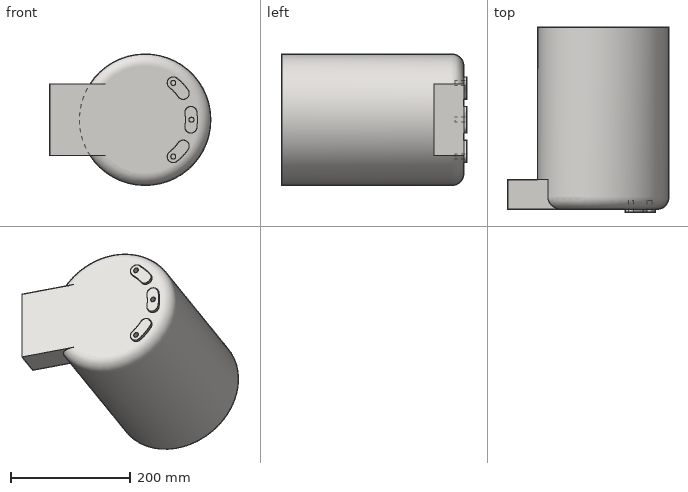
import cadquery as cq
import math

total_length = 310.0
drum_diameter = 220.0
overall_width = 270.0
edge_radius = 20.0

box_height = 120.0
box_depth = 50.0

pad_height = 5.0
pad_path_radius = 77.5
pad_width = 20.0
pad_half_angle = 9.0
pad_spacing_angle = 43.7

hole_depth = 20.0
hole_diameter = 8.5

drum_radius = drum_diameter / 2
drum_length = total_length - pad_height
box_reach = overall_width - drum_radius


def front_plane(y):
    """Workplane facing -Y at the given y, with local x along X and local y along Z."""
    return cq.Workplane("XZ", origin=(0, y, 0))


def polar(radius, angle):
    """Point at a radius and an angle in degrees, measured from +X towards +Z."""
    turn = math.radians(angle)
    return (radius * math.cos(turn), radius * math.sin(turn))


def make_drum():
    """Solid drum from y = 0 to y = drum_length with a rounded front edge."""
    drum = front_plane(drum_length).circle(drum_radius).extrude(drum_length)
    return drum.faces("<Y").edges().fillet(edge_radius)


def make_side_box():
    """Box from the drum axis out to -X."""
    box = cq.Workplane("XY").box(box_reach, box_depth, box_height, centered=(False, False, True))
    return box.translate((-box_reach, 0, 0))


def make_pad(centre_angle):
    """Arc-shaped slot outline with round ends, raised from the front face."""
    inner = pad_path_radius - pad_width / 2
    outer = pad_path_radius + pad_width / 2
    start = centre_angle - pad_half_angle
    end = centre_angle + pad_half_angle
    return (
        front_plane(0)
        .moveTo(*polar(outer, start))
        .threePointArc(polar(outer, centre_angle), polar(outer, end))
        .tangentArcPoint(polar(inner, end), relative=False)
        .threePointArc(polar(inner, centre_angle), polar(inner, start))
        .tangentArcPoint(polar(outer, start), relative=False)
        .close()
        .extrude(pad_height)
    )


def make_hole(angle):
    """Drill for a blind hole on the pad path."""
    return (
        front_plane(-pad_height)
        .center(*polar(pad_path_radius, angle))
        .circle(hole_diameter / 2)
        .extrude(-hole_depth)
    )


result = make_drum().union(make_side_box())
for side in (-1, 0, 1):
    pad_angle = side * pad_spacing_angle
    hole_angle = pad_angle + side * pad_half_angle
    result = result.union(make_pad(pad_angle)).cut(make_hole(hole_angle))